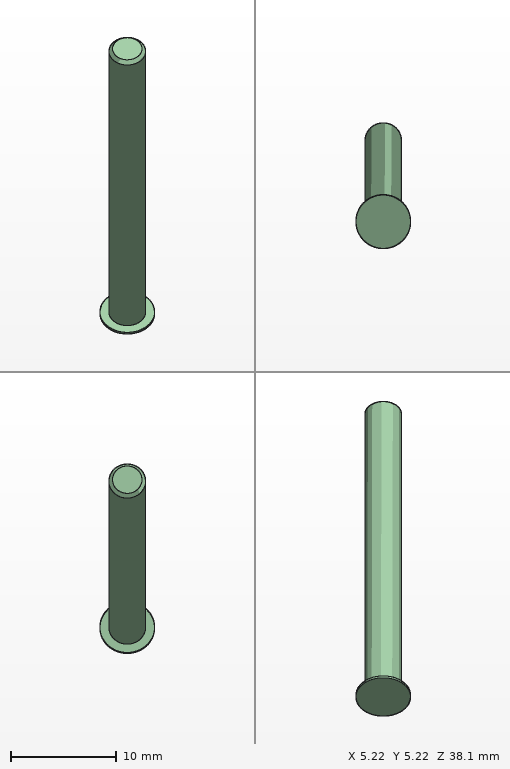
import cadquery as cq

total_length = 38.1
shank_diameter = 3.5
head_diameter = 5.22
head_thickness = 0.25
tip_chamfer = 0.35

head = cq.Workplane("XY").circle(head_diameter / 2).extrude(head_thickness)

shank = (
    cq.Workplane("XY")
    .circle(shank_diameter / 2)
    .extrude(total_length)
    .faces(">Z")
    .chamfer(tip_chamfer)
)

result = head.union(shank)